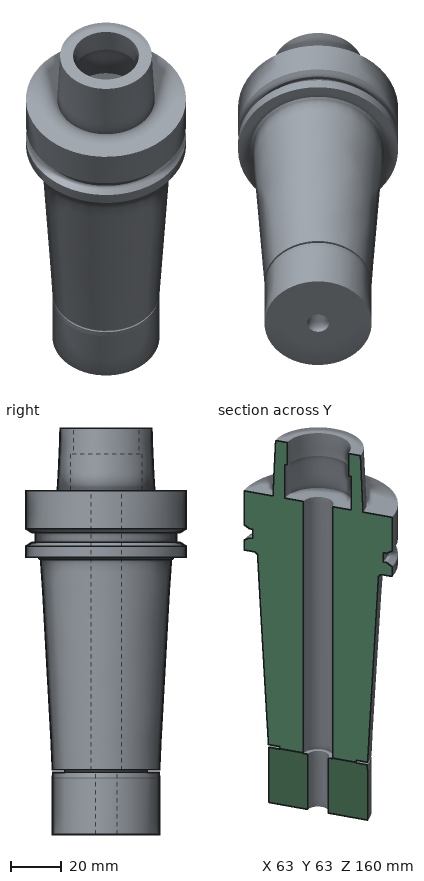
import cadquery as cq

total_height = 160.0

nut_radius = 21.1
nut_height = 24.5
nut_edge_height = 2.0
nut_edge_inset = 0.2

spigot_radius = 16.3
body_bottom_z = 25.5
body_bottom_radius = nut_radius
body_top_radius = 26.2

flange_radius = 31.5
flange_bottom_z = 109.1
flange_top_z = 135.4
neck_flare = 1.0
groove_radius = 27.8
groove_wall_bottom_z = 115.0
groove_wall_top_z = 118.9
groove_mouth_bottom_z = 113.6
groove_mouth_top_z = 120.3
groove_corner_radius = 29.1

shank_bottom_radius = 19.2
shank_top_radius = 18.0
mouth_radius = 13.0
mouth_depth = 10.0
chamber_radius = 14.0
chamber_floor_z = flange_top_z

upper_bore_radius = 6.0
through_radius = 4.3


def revolve_profile(points):
    """Revolve a closed (radius, Z) outline a full turn about the Z axis."""
    return cq.Workplane("XZ").polyline(points).close().revolve(360, (0, 0, 0), (0, 1, 0))


def make_holder():
    """Tapered body, grooved flange and hollow shank, resting on top of the nut."""
    return revolve_profile([
        (upper_bore_radius, nut_height),
        (spigot_radius, nut_height),
        (spigot_radius, body_bottom_z),
        (body_bottom_radius, body_bottom_z),
        (body_top_radius - neck_flare / 2, flange_bottom_z - neck_flare),
        (body_top_radius + neck_flare / 2, flange_bottom_z),
        (flange_radius, flange_bottom_z),
        (flange_radius, groove_mouth_bottom_z),
        (groove_corner_radius, groove_wall_bottom_z),
        (groove_radius, groove_wall_bottom_z),
        (groove_radius, groove_wall_top_z),
        (groove_corner_radius, groove_wall_top_z),
        (flange_radius, groove_mouth_top_z),
        (flange_radius, flange_top_z),
        (shank_bottom_radius, flange_top_z),
        (shank_top_radius, total_height),
        (mouth_radius, total_height),
        (mouth_radius, total_height - mouth_depth),
        (chamber_radius, total_height - mouth_depth),
        (chamber_radius, chamber_floor_z),
        (upper_bore_radius, chamber_floor_z),
    ])


def make_nut():
    """Clamping nut with a slightly relieved top edge and a through bore."""
    return revolve_profile([
        (through_radius, 0),
        (nut_radius, 0),
        (nut_radius, nut_height - nut_edge_height),
        (nut_radius - nut_edge_inset, nut_height),
        (through_radius, nut_height),
    ])


holder = make_holder()
nut = make_nut()
result = cq.Compound.makeCompound([holder.val(), nut.val()])